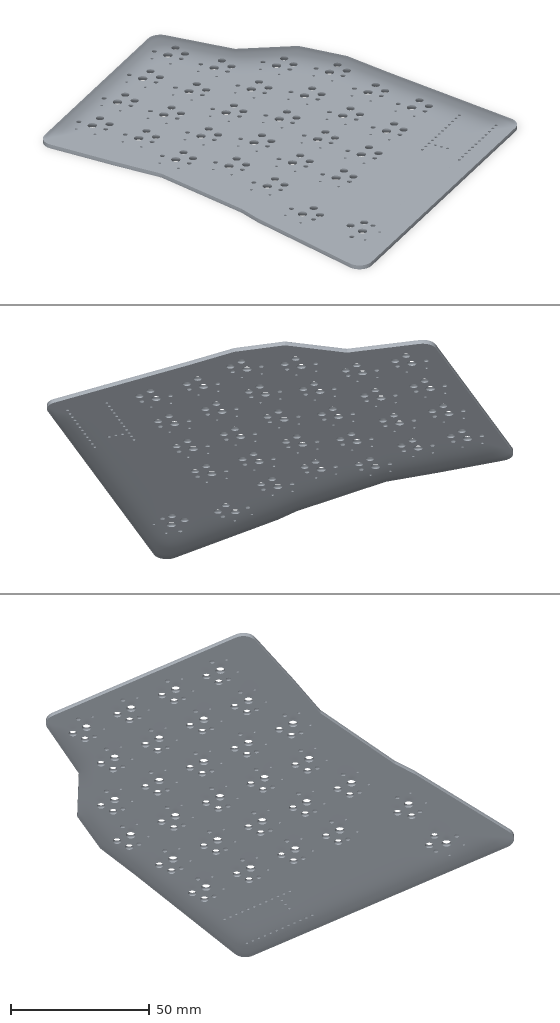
import cadquery as cq
import math

length = 147.0
thickness = 1.6
right_edge = length / 2
left_edge = -right_edge
corner_radius = 5.0

column_count = 6
column_span = 95.2
key_pitch = column_span / (column_count - 1)
first_column_x = -61.6
column_tops = [34.5, 34.5, 46.6, 51.7, 45.7, 43.7]
keys_per_column = [4, 4, 5, 5, 5, 4]

thumb_keys = [(35.3, -41.9, -15), (60.1, -42.3, 75)]

centre_post_diameter = 3.4
switch_pin_diameter = 3.0
switch_pins = [(0, 5.9), (5.0, 3.8)]
side_post_diameter = 1.8
side_post_spacing = 11.0
diode_pin_diameter = 0.98
diode_pin_spacing = 7.6
diode_offset_y = -5.0

header_pin_diameter = 1.09
header_pin_count = 12
header_span = 28.0
header_pitch = header_span / (header_pin_count - 1)
header_left_x = 51.5
header_row_spacing = 15.1
header_top_y = 47.0
branch_pin_count = 3
branch_row_index = 9


def make_plate():
    upper_left = (left_edge, 46.0)
    upper_right = (right_edge, 53.2)
    lower_right = (right_edge, -66.6)
    lower_left = (left_edge, -41.9)
    upper_edge = [(-42.3, 50.0), (-23.2, 62.8), (-4.4, 64.8), (14.4, 61.7)]
    lower_edge = [(22.6, -52.5), (14.3, -49.2), (-23.1, -41.0), (-24.3, -41.0), (-42.6, -41.6)]

    outline = [upper_left, *upper_edge, upper_right, lower_right, *lower_edge, lower_left]
    plate = cq.Workplane("XY").polyline(outline).close().extrude(thickness)
    for corner_x, corner_y in (upper_left, upper_right, lower_right, lower_left):
        corner = cq.selectors.NearestToPointSelector((corner_x, corner_y, thickness / 2))
        plate = plate.edges("|Z").edges(corner).fillet(corner_radius)
    return plate


def grid_keys():
    """Centre and turn of every key in the straight columns."""
    keys = []
    for column, (top_y, key_count) in enumerate(zip(column_tops, keys_per_column)):
        x = first_column_x + column * key_pitch
        for row in range(key_count):
            keys.append((x, top_y - row * key_pitch, 0))
    return keys


def place_on_keys(keys, offsets):
    """Points at the given offsets from each key centre, turned with the key."""
    points = []
    for key_x, key_y, turn in keys:
        cosine = math.cos(math.radians(turn))
        sine = math.sin(math.radians(turn))
        for dx, dy in offsets:
            points.append((key_x + dx * cosine - dy * sine, key_y + dx * sine + dy * cosine))
    return points


def header_points():
    points = []
    for row_x in (header_left_x, header_left_x + header_row_spacing):
        for pin in range(header_pin_count):
            points.append((row_x, header_top_y - pin * header_pitch))
    branch_y = header_top_y - branch_row_index * header_pitch
    for pin in range(1, branch_pin_count + 1):
        points.append((header_left_x + pin * header_pitch, branch_y))
    return points


def drill(plate, points, diameter):
    drills = cq.Workplane("XY").pushPoints(points).circle(diameter / 2).extrude(thickness)
    return plate.cut(drills)


side_posts = [(side * side_post_spacing / 2, 0) for side in (-1, 1)]
diode_pins = [(side * diode_pin_spacing / 2, diode_offset_y) for side in (-1, 1)]
all_keys = grid_keys() + thumb_keys

result = make_plate()
result = drill(result, place_on_keys(all_keys, [(0, 0)]), centre_post_diameter)
result = drill(result, place_on_keys(all_keys, switch_pins), switch_pin_diameter)
result = drill(result, place_on_keys(all_keys, side_posts), side_post_diameter)
result = drill(result, place_on_keys(all_keys, diode_pins), diode_pin_diameter)
result = drill(result, header_points(), header_pin_diameter)